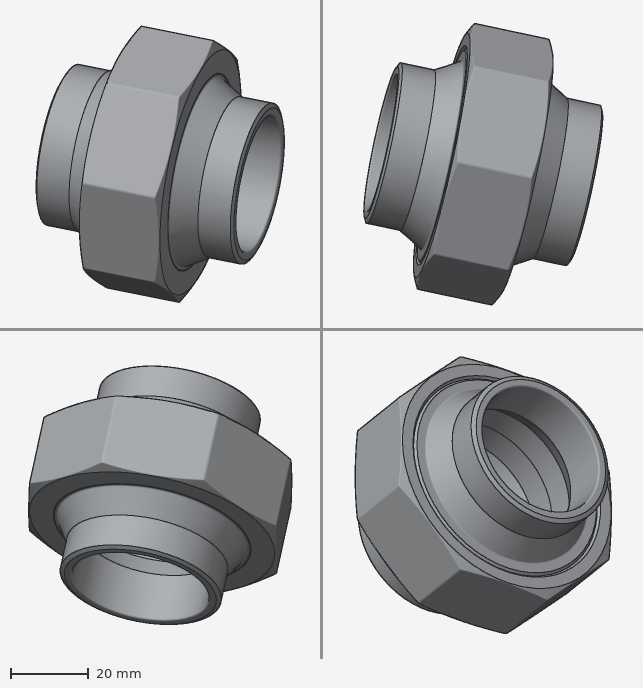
import cadquery as cq
import math


half_length = 27.0
pipe_dia = 42.4
bore_dia = 36.0
end_bevel_length = 0.6
end_bevel_depth = 1.2
mouth_fillet = 0.5
chamber_dia = 42.5
chamber_cone_start_x = 13.7
cone_angle = 30.0
cone_base_dia = 50.0
cone_base_fillet = 0.5

across_flats = 65.0
nut_width = 22.0
nut_corner_fillet = 1.0
nut_chamfer_dia = 64.5
nut_chamfer_angle = 22.0
nut_mouth_dia = 58.0
lip_bore_dia = 52.0
lip_thickness = 4.0
rim_fillet = 0.3

threaded_face_dia = 55.5
collar_neck_dia = 51.5
collar_dia = 55.5

shoulder_x = nut_width / 2
thread_dia = (nut_mouth_dia + threaded_face_dia) / 2
thread_chamfer = (nut_mouth_dia - thread_dia) / 2
cone_length = (cone_base_dia - pipe_dia) / 2 / math.tan(math.radians(cone_angle))
cone_start_x = shoulder_x + cone_length
lip_inner_x = shoulder_x - lip_thickness
chamber_cone_length = (chamber_dia - bore_dia) / 2 / math.tan(math.radians(cone_angle))
chamber_start_x = chamber_cone_start_x - chamber_cone_length


def revolve_about_x(points):
    """Revolve an outline of (x, radius) points about the X axis."""
    return cq.Workplane("XY").polyline(points).close().revolve(360, (0, 0, 0), (1, 0, 0))


def weld_end(body_outline):
    """Weld end pointing to +X. The given outline runs from the butt face out to the shoulder."""
    bore_r = bore_dia / 2
    pipe_r = pipe_dia / 2
    turn = math.radians(90 - cone_angle)
    tangent = cone_base_fillet * math.tan(turn / 2)
    base_r = cone_base_dia / 2
    slope = math.radians(cone_angle)
    arc_start = (shoulder_x, base_r + tangent)
    arc_end = (shoulder_x + tangent * math.cos(slope), base_r - tangent * math.sin(slope))
    arc_mid = (
        shoulder_x + cone_base_fillet * (1 - math.cos(turn / 2)),
        base_r + tangent - cone_base_fillet * math.sin(turn / 2),
    )
    outline = cq.Workplane("XY").polyline([*body_outline, arc_start]).threePointArc(arc_mid, arc_end)
    for point in [
        (cone_start_x, pipe_r),
        (half_length - end_bevel_length, pipe_r),
        (half_length, pipe_r - end_bevel_depth),
        (half_length, bore_r),
        (chamber_cone_start_x, bore_r),
        (chamber_start_x, chamber_dia / 2),
        (0, chamber_dia / 2),
    ]:
        outline = outline.lineTo(*point)
    body = outline.close().revolve(360, (0, 0, 0), (1, 0, 0))
    return body.faces(">X").edges(cq.selectors.RadiusNthSelector(0)).fillet(mouth_fillet)


def make_threaded_end():
    """Weld end on the -X side, carrying the thread for the nut."""
    body = weld_end([
        (0, thread_dia / 2),
        (shoulder_x - thread_chamfer, thread_dia / 2),
        (shoulder_x, threaded_face_dia / 2),
    ])
    return body.mirror("YZ")


def make_collar_end():
    """Weld end on the +X side, with the collar held by the nut lip."""
    return weld_end([
        (0, collar_dia / 2),
        (lip_inner_x, collar_dia / 2),
        (lip_inner_x, collar_neck_dia / 2),
        (shoulder_x, collar_neck_dia / 2),
    ])


def make_nut():
    """Octagon nut with rounded corners, chamfered ends, threaded bore and inner lip."""
    corner_dia = across_flats / math.cos(math.pi / 8)
    octagon = (
        cq.Workplane("YZ")
        .workplane(offset=-shoulder_x)
        .transformed(rotate=(0, 0, 180 / 8))
        .polygon(8, corner_dia)
        .extrude(nut_width)
        .edges("|X")
        .fillet(nut_corner_fillet)
    )
    corner_r = corner_dia / 2
    face_r = nut_chamfer_dia / 2
    chamfer_length = (corner_r - face_r) * math.tan(math.radians(nut_chamfer_angle))
    envelope = revolve_about_x([
        (-shoulder_x, 0),
        (-shoulder_x, face_r),
        (-shoulder_x + chamfer_length, corner_r),
        (shoulder_x - chamfer_length, corner_r),
        (shoulder_x, face_r),
        (shoulder_x, 0),
    ])
    cavity = revolve_about_x([
        (-shoulder_x, 0),
        (-shoulder_x, nut_mouth_dia / 2),
        (-shoulder_x + thread_chamfer, thread_dia / 2),
        (lip_inner_x, thread_dia / 2),
        (lip_inner_x, lip_bore_dia / 2),
        (shoulder_x, lip_bore_dia / 2),
        (shoulder_x, 0),
    ])
    body = octagon.intersect(envelope)
    body = body.faces("%CONE").edges("not %CIRCLE").fillet(rim_fillet)
    return body.cut(cavity)


threaded_end = make_threaded_end()
collar_end = make_collar_end()
nut = make_nut()

result = cq.Compound.makeCompound([
    threaded_end.val(),
    collar_end.val(),
    nut.val(),
])